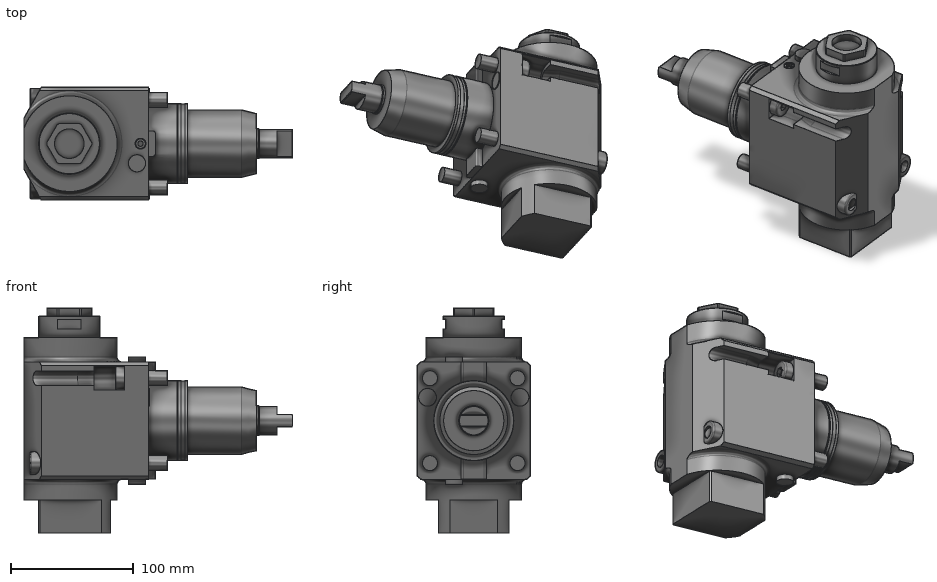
import cadquery as cq
import math


rear_x = -37.0
block_front_x = 64.5
block_width = 92.0
block_height = 95.5
side_face_start_x = -22.7
rear_face_width = 41.5
long_edge_chamfer = 2.8

head_radius = 39.0
head_top_z = 67.5
head_bottom_z = -64.7
cove_radius = 4.0

collar_radius = 25.0
collar_top_z = 85.0
collar_edge_chamfer = 0.5
collar_flat_offset = 23.0
collar_flat_bottom_z = 74.7
collar_flat_top_z = 82.4
nut_across_flats = 32.5
nut_corner_radius = 18.4
nut_top_z = 91.5
nut_bore_radius = 12.0
nut_bore_depth = 6.0

foot_bottom_z = -91.5
foot_rear_x = -25.1
foot_front_x = 33.6
foot_width = 57.7
foot_corner_radius = head_radius
foot_rear_chamfer = 1.0

flange_radius = 32.5
flange_groove_x = 87.6
flange_groove_width = 0.7
flange_groove_depth = 0.9
seal_band_start_x = 90.7
seal_band_end_x = 94.0
seal_band_depth = 0.2
flange_end_x = 96.1
shank_radius = 27.5
cone_start_x = 139.8
cone_end_radius = 24.5
cone_end_x = 152.0
neck_radius = 12.2
neck_end_x = 153.8
neck_taper_length = 0.7
drive_radius = 11.5
tang_start_x = 169.0
shank_end_x = rear_x + 218.5
tang_thickness = 10.0
tang_end_chamfer = 0.7

key_width = 20.5
key_front_x = 70.0
key_corner_radius = 1.7
key_end_setback = 0.2

bolt_y = 35.6
bolt_z = 34.5
bolt_radius = 6.1
bolt_end_x = 79.8
bolt_head_radius = 9.5
bolt_head_edge_radius = 1.0
lower_head_rear_x = -32.0
lower_socket_radius = 5.0
upper_head_rear_x = 37.4
upper_socket_across_flats = 7.0
upper_socket_depth = 3.5
upper_socket_point_depth = 2.2

pocket_start_x = 19.9
pocket_end_x = 44.8
pocket_radius = 9.6
channel_radius = 6.0
channel_y = 39.8
channel_bend_x = 7.6

pin_x = 55.0
pin_y = -16.0
pin_radius = 7.0
pin_height = 4.2
set_screw_x = 58.0
set_screw_radius = 4.4
set_screw_ring_width = 0.5
set_screw_ring_depth = 0.7
set_screw_socket_radius = 2.2
set_screw_socket_depth = 2.2
front_disc_y = 37.5
front_disc_z = 19.0
front_disc_radius = 7.2
front_disc_height = 0.7

half_width = block_width / 2
half_height = block_height / 2
half_rear_face = rear_face_width / 2
SIDES = (1, -1)


def z_cylinder(radius, bottom, top, x=0.0, y=0.0):
    return cq.Workplane("XY", origin=(x, y, bottom)).circle(radius).extrude(top - bottom)


def x_cylinder(radius, start, end, y=0.0, z=0.0):
    return cq.Workplane("YZ", origin=(start, y, z)).circle(radius).extrude(end - start)


def box(x_range, y_range, z_range):
    lows, highs = zip(sorted(x_range), sorted(y_range), sorted(z_range))
    sizes = [high - low for low, high in zip(lows, highs)]
    return cq.Workplane("XY").box(*sizes, centered=False).translate(lows)


def housing_column(bottom, top):
    """Plan outline of the housing, with both rear corners cut off."""
    outline = [
        (rear_x, -half_rear_face),
        (side_face_start_x, -half_width),
        (block_front_x, -half_width),
        (block_front_x, half_width),
        (side_face_start_x, half_width),
        (rear_x, half_rear_face),
    ]
    return cq.Workplane("XY", origin=(0, 0, bottom)).polyline(outline).close().extrude(top - bottom)


def housing_block():
    envelope = (
        box((rear_x, block_front_x), (-half_width, half_width), (-half_height, half_height))
        .edges("|X")
        .chamfer(long_edge_chamfer)
    )
    return housing_column(-half_height, half_height).intersect(envelope)


def spindle_head():
    """Round head with a concave cove where it meets the block above and below."""
    cove_outer_radius = head_radius + cove_radius
    cove_middle = cove_radius * (1 - math.sin(math.pi / 4))
    profile = (
        cq.Workplane("XZ")
        .moveTo(0, head_bottom_z)
        .lineTo(head_radius, head_bottom_z)
        .lineTo(head_radius, -half_height - cove_radius)
        .threePointArc(
            (head_radius + cove_middle, -half_height - cove_middle), (cove_outer_radius, -half_height)
        )
        .lineTo(cove_outer_radius, half_height)
        .threePointArc(
            (head_radius + cove_middle, half_height + cove_middle), (head_radius, half_height + cove_radius)
        )
        .lineTo(head_radius, head_top_z)
        .lineTo(0, head_top_z)
        .close()
    )
    head = profile.revolve(360, (0, 0, 0), (0, 1, 0))
    return head.intersect(housing_column(head_bottom_z, head_top_z))


def collar():
    """Round collar with a softened top edge and a wrench flat on each side."""
    body = z_cylinder(collar_radius, head_top_z, collar_top_z)
    body = body.faces(">Z").edges().chamfer(collar_edge_chamfer)
    for side in SIDES:
        body = body.cut(
            box(
                (-collar_radius, collar_radius),
                (side * collar_flat_offset, side * collar_radius),
                (collar_flat_bottom_z, collar_flat_top_z),
            )
        )
    return body


def nut():
    """Hex nut with its corners turned down and a blind bore."""
    corner_diameter = nut_across_flats / math.cos(math.pi / 6)
    height = nut_top_z - collar_top_z
    hexagon = cq.Workplane("XY", origin=(0, 0, collar_top_z)).polygon(6, corner_diameter).extrude(height)
    bore = z_cylinder(nut_bore_radius, nut_top_z - nut_bore_depth, nut_top_z)
    return hexagon.intersect(z_cylinder(nut_corner_radius, collar_top_z, nut_top_z)).cut(bore)


def foot():
    """Rectangular foot whose front corners follow a turned radius."""
    block = box(
        (foot_rear_x, foot_front_x), (-foot_width / 2, foot_width / 2), (foot_bottom_z, head_bottom_z)
    )
    block = block.edges("|Z and <X").chamfer(foot_rear_chamfer)
    return block.intersect(z_cylinder(foot_corner_radius, foot_bottom_z, head_bottom_z))


def shank():
    """Turned shank ending in a flat drive tang."""
    groove_end_x = flange_groove_x + flange_groove_width
    groove_radius = flange_radius - flange_groove_depth
    band_radius = flange_radius - seal_band_depth
    profile = [
        (0, 0),
        (0, flange_radius),
        (flange_groove_x, flange_radius),
        (flange_groove_x, groove_radius),
        (groove_end_x, groove_radius),
        (groove_end_x, flange_radius),
        (seal_band_start_x, flange_radius),
        (seal_band_start_x, band_radius),
        (seal_band_end_x, band_radius),
        (seal_band_end_x, flange_radius),
        (flange_end_x, flange_radius),
        (flange_end_x, shank_radius),
        (cone_start_x, shank_radius),
        (cone_end_x, cone_end_radius),
        (cone_end_x, neck_radius),
        (neck_end_x, neck_radius),
        (neck_end_x + neck_taper_length, drive_radius),
        (tang_start_x, drive_radius),
        (tang_start_x, 0),
    ]
    turned = cq.Workplane("XY").polyline(profile).close().revolve(360, (0, 0, 0), (1, 0, 0))
    tang = x_cylinder(drive_radius, tang_start_x, shank_end_x).intersect(
        box(
            (tang_start_x, shank_end_x),
            (-drive_radius, drive_radius),
            (-tang_thickness / 2, tang_thickness / 2),
        )
    )
    return turned.union(tang.faces(">X").edges("|Y").chamfer(tang_end_chamfer))


def key(side):
    """Key on the front face, above (+1) or below (-1) the shank."""
    outer_z = half_height - key_end_setback
    bar = box((block_front_x, key_front_x), (-key_width / 2, key_width / 2), (0, side * outer_z))
    return bar.edges("|Z and >X").fillet(key_corner_radius)


def access_channel():
    """Open channel on the +Y side: straight from the rear, then bending in to the bolt axis."""
    start = (rear_x, channel_y)
    bend = (channel_bend_x, channel_y)
    end = (pocket_start_x, bolt_y)
    bend_run = end[0] - bend[0]
    bend_rise = end[1] - bend[1]
    bend_length = math.hypot(bend_run, bend_rise)
    direction = cq.Vector(bend_run, bend_rise, 0).normalized()

    slot = (
        cq.Workplane("XY", origin=(0, 0, bolt_z - channel_radius))
        .polyline([start, bend, end, (pocket_start_x, half_width), (rear_x, half_width)])
        .close()
        .extrude(2 * channel_radius)
    )
    straight_floor = x_cylinder(channel_radius, rear_x, channel_bend_x, channel_y, bolt_z)
    overrun = channel_radius
    sloped_start = cq.Vector(*bend, bolt_z) - direction * overrun
    sloped_floor = cq.Solid.makeCylinder(channel_radius, bend_length + 2 * overrun, sloped_start, direction)
    return slot.union(straight_floor).union(cq.Workplane(sloped_floor))


def upper_bolt_recess():
    """Bolt-head pocket and access channel on the +Y side."""
    floor = x_cylinder(pocket_radius, pocket_start_x, pocket_end_x, bolt_y, bolt_z)
    mouth = box(
        (pocket_start_x, pocket_end_x),
        (bolt_y, half_width),
        (bolt_z - pocket_radius, bolt_z + pocket_radius),
    )
    return floor.union(mouth).union(access_channel())


def bolt_head(rear, front, z):
    """Round bolt head with a softened rear edge."""
    head = x_cylinder(bolt_head_radius, rear, front, bolt_y, z)
    return head.faces("<X").edges().fillet(bolt_head_edge_radius)


def upper_bolt_head():
    """Bolt head with a hex socket that ends in a drill point."""
    head = bolt_head(upper_head_rear_x, pocket_end_x, bolt_z)
    socket = (
        cq.Workplane("YZ", origin=(upper_head_rear_x, bolt_y, bolt_z))
        .polygon(6, upper_socket_across_flats / math.cos(math.pi / 6))
        .extrude(upper_socket_depth)
    )
    point = cq.Solid.makeCone(
        upper_socket_across_flats / 2,
        0,
        upper_socket_point_depth,
        cq.Vector(upper_head_rear_x + upper_socket_depth, bolt_y, bolt_z),
        cq.Vector(1, 0, 0),
    )
    return head.cut(socket).cut(cq.Workplane(point))


def lower_bolt_head():
    """Head standing out of the slanted corner face, its socket open down to that face."""
    head = bolt_head(lower_head_rear_x, 0, -bolt_z)
    return head.cut(x_cylinder(lower_socket_radius, lower_head_rear_x, 0, bolt_y, -bolt_z))


def bolt_tip(z):
    return x_cylinder(bolt_radius, block_front_x, bolt_end_x, bolt_y, z)


def front_disc():
    """Shallow disc on the front face, beside the shank."""
    return x_cylinder(
        front_disc_radius, block_front_x, block_front_x + front_disc_height, front_disc_y, front_disc_z
    )


def locating_pin():
    """Pin through the block, standing out above and below."""
    reach = half_height + pin_height
    return z_cylinder(pin_radius, -reach, reach, pin_x, pin_y)


def set_screw_recess():
    """Ring gap around the set screw and the socket in its middle."""
    ring_bottom = half_height - set_screw_ring_depth
    socket_bottom = half_height - set_screw_socket_depth
    core_radius = set_screw_radius - set_screw_ring_width
    ring = z_cylinder(set_screw_radius, ring_bottom, half_height, set_screw_x)
    ring = ring.cut(z_cylinder(core_radius, ring_bottom, half_height, set_screw_x))
    return ring.union(z_cylinder(set_screw_socket_radius, socket_bottom, half_height, set_screw_x))


def on_both_sides(shape):
    return shape, shape.mirror("XZ")


result = housing_block().union(spindle_head())
for recess in on_both_sides(upper_bolt_recess()):
    result = result.cut(recess)
result = result.cut(set_screw_recess())

for part in (collar(), nut(), foot(), shank()):
    result = result.union(part)
for side in SIDES:
    result = result.union(key(side))

for part in (upper_bolt_head(), lower_bolt_head(), bolt_tip(bolt_z), bolt_tip(-bolt_z), front_disc()):
    for placed in on_both_sides(part):
        result = result.union(placed)
result = result.union(locating_pin())